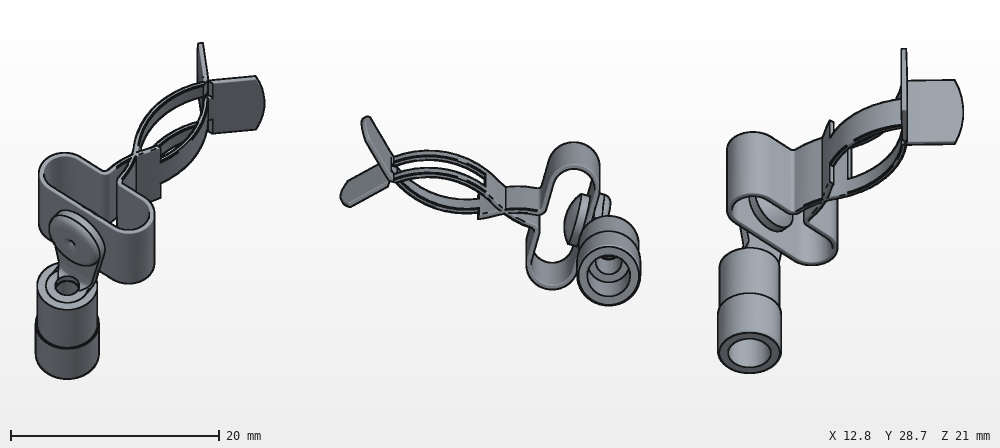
import cadquery as cq
import math


strip_thickness = 0.5
clip_height = 8.0
loop_flat_half = 3.9
loop_outer_radius = 2.5
foot_bend_radius = 0.6
arm_radius = 8.75
bulge_peak_x = 1.88
bulge_centre_y = 14.0
swing_angle = 31.6
tab_angle = 45.0
tab_length = 4.65
tab_end_radius = 10.0
strip_edge_fillet = 0.1

crossing_y_start = 10.6
crossing_y_end = 19.75
window_height = 4.2
tongue_height = 3.5

head_radius = 3.0
head_height = 0.8
shank_radius = 2.5
shank_top_y = 1.35
dome_height = 0.9
dimple_radius = 1.0

terminal_thickness = 0.8
terminal_eye_radius = head_radius
barrel_radius = 2.05
barrel_top_z = -6.0
barrel_end_z = -12.0
neck_height = 1.0
neck_top_z = barrel_top_z + neck_height
barrel_hole_radius = 1.15
neck_section_drops = [0, 0.5, 1]
barrel_y = -barrel_radius

sleeve_radius = 2.9
sleeve_foot_radius = 3.05
sleeve_step_z = barrel_end_z
sleeve_bottom_z = -17.0
sleeve_edge_fillet = 0.3


def side_point(point, heading, offset):
    """Point at a distance to the left of a path that runs along the heading (degrees)."""
    angle = math.radians(heading + 90)
    return (point[0] + offset * math.cos(angle), point[1] + offset * math.sin(angle))


def follow_path(start, heading, moves, offset):
    """Points of a line parallel to the path, as (arc middle or None, end), and the final heading."""
    point = start
    steps = []
    for kind, size, turn in moves:
        if kind == "line":
            point = side_point(point, heading - 90, size)
            middle = None
        else:
            to_centre = math.copysign(size, turn)
            centre = side_point(point, heading, to_centre)
            middle = side_point(centre, heading + turn / 2, offset - to_centre)
            heading += turn
            point = side_point(centre, heading, -to_centre)
        steps.append((middle, side_point(point, heading, offset)))
    return steps, point, heading


def arm_moves():
    """Bends of one half of the strip, from the middle of the flat front to the tab end."""
    swing = math.radians(swing_angle)
    lower_x = bulge_peak_x - arm_radius + 2 * arm_radius * math.cos(swing)
    lower_y = bulge_centre_y - 2 * arm_radius * math.sin(swing)
    foot_y = 2 * loop_outer_radius - strip_thickness / 2 + foot_bend_radius
    foot_lean = math.asin((foot_y - lower_y) / (arm_radius + foot_bend_radius))
    foot_x = lower_x - (arm_radius + foot_bend_radius) * math.cos(foot_lean)
    foot_angle = math.degrees(foot_lean)
    return [
        ("line", loop_flat_half, 0),
        ("arc", loop_outer_radius - strip_thickness / 2, -180),
        ("line", loop_flat_half + foot_x, 0),
        ("arc", foot_bend_radius, 90 - foot_angle),
        ("arc", arm_radius, foot_angle - swing_angle),
        ("arc", arm_radius, swing_angle + tab_angle),
        ("line", tab_length, 0),
    ]


def draw_steps(sketch, steps):
    for middle, end in steps:
        sketch = sketch.lineTo(*end) if middle is None else sketch.threePointArc(middle, end)
    return sketch


def make_arm(height):
    """Half of the clip, bent from a strip of the given height.

    It leads through the -X loop, bulges to +X and ends in a tab at -X.
    """
    half = strip_thickness / 2
    start = (0, half)
    start_heading = 180
    moves = arm_moves()
    left_steps, tip, tip_heading = follow_path(start, start_heading, moves, half)
    right_steps, _, _ = follow_path(start, start_heading, moves, -half)

    right_start = side_point(start, start_heading, -half)
    right_ends = [right_start] + [end for _, end in right_steps[:-1]]
    right_back = [(step[0], end) for step, end in zip(right_steps, right_ends)][::-1]

    sketch = cq.Workplane("XY").workplane(offset=-height / 2)
    sketch = draw_steps(sketch.moveTo(*side_point(start, start_heading, half)), left_steps)
    sketch = draw_steps(sketch.lineTo(*right_steps[-1][1]), right_back)
    arm = sketch.close().extrude(height)
    arm = arm.cut(tab_corners(tip, tip_heading))
    return arm.edges("not (|Y or |Z)").fillet(strip_edge_fillet)


def tab_corners(tip, heading):
    """Material outside the rounded end of a tab."""
    half = clip_height / 2
    sag = tab_end_radius - math.sqrt(tab_end_radius**2 - half**2)
    angle = math.radians(heading)
    plane = cq.Plane(
        origin=(*tip, 0),
        xDir=(math.cos(angle), math.sin(angle), 0),
        normal=(math.sin(angle), -math.cos(angle), 0),
    )
    return (
        cq.Workplane(plane)
        .moveTo(-sag, -half)
        .threePointArc((0, 0), (-sag, half))
        .lineTo(sag, half)
        .lineTo(sag, -half)
        .close()
        .extrude(strip_thickness, both=True)
    )


def box_between(x_range, y_range, z_range):
    lows, highs = zip(x_range, y_range, z_range)
    sizes = [high - low for low, high in zip(lows, highs)]
    return cq.Workplane("XY").box(*sizes, centered=False).translate(lows)


def make_arm_pair(height):
    arm = make_arm(height)
    return arm.union(arm.mirror("YZ"))


def make_clip():
    """Crossed arms: narrow on the +X side and split into two rails on the -X side of the bulge."""
    reach = loop_flat_half
    full_z = (-clip_height / 2, clip_height / 2)
    window_zone = box_between((-reach, 0), (crossing_y_start, crossing_y_end), full_z)
    tongue_zone = box_between((0, reach), (crossing_y_start, crossing_y_end), full_z)

    clip = make_arm_pair(clip_height).cut(window_zone).cut(tongue_zone)
    clip = clip.union(make_arm_pair(tongue_height).intersect(tongue_zone))

    rail_height = (clip_height - window_height) / 2
    rail_offset = (window_height + rail_height) / 2
    rails = make_arm_pair(rail_height).intersect(window_zone)
    for offset in (-rail_offset, rail_offset):
        clip = clip.union(rails.translate((0, 0, offset)))
    return clip.cut(rivet_hole())


def rivet_hole():
    return cq.Workplane("XZ").circle(shank_radius).extrude(loop_outer_radius / 2, both=True)


def make_rivet():
    """Solid of revolution about the Y axis."""
    head_base_y = -terminal_thickness
    head_face_y = head_base_y - head_height
    head_flat_radius = head_radius - head_height
    diagonal = head_height * math.sqrt(0.5)
    dimple_inset = dimple_radius * (1 - math.sqrt(0.5))
    dome_radius = (shank_radius**2 + dome_height**2) / (2 * dome_height)
    dome_centre_y = shank_top_y + dome_height - dome_radius
    dome_middle_x = shank_radius / 2
    dome_middle_y = dome_centre_y + math.sqrt(dome_radius**2 - dome_middle_x**2)
    return (
        cq.Workplane("XY")
        .moveTo(0, head_face_y + dimple_radius)
        .threePointArc((dimple_inset, head_face_y + dimple_inset), (dimple_radius, head_face_y))
        .lineTo(head_flat_radius, head_face_y)
        .threePointArc((head_flat_radius + diagonal, head_base_y - diagonal), (head_radius, head_base_y))
        .lineTo(shank_radius, head_base_y)
        .lineTo(shank_radius, shank_top_y)
        .threePointArc((dome_middle_x, dome_middle_y), (0, shank_top_y + dome_height))
        .close()
        .revolve(360, (0, 0, 0), (0, 1, 0))
    )


def tongue_outline():
    """Eye of the tongue with tangent sides down to the neck, drawn in X and Z."""
    distance = math.hypot(barrel_radius, neck_top_z)
    lean = math.asin(terminal_eye_radius / distance) - math.atan(barrel_radius / -neck_top_z)
    tangent_x = terminal_eye_radius * math.cos(lean)
    tangent_z = -terminal_eye_radius * math.sin(lean)
    return (
        cq.Workplane("XZ")
        .moveTo(-barrel_radius, neck_top_z)
        .lineTo(-tangent_x, tangent_z)
        .threePointArc((0, terminal_eye_radius), (tangent_x, tangent_z))
        .lineTo(barrel_radius, neck_top_z)
        .close()
    )


def neck_section(drop):
    """Section of half the neck; drop runs from 0 at the flat tongue to 1 at the barrel ring."""
    blend = 1 - math.sqrt(1 - drop**2)
    ring_depth = barrel_radius - barrel_hole_radius
    ring_end_drop = barrel_radius - terminal_thickness
    diagonal = math.sqrt(0.5)
    inner_back_y = -terminal_thickness - blend * (ring_depth - terminal_thickness)
    inner_end = (barrel_radius - blend * ring_depth, -terminal_thickness - blend * ring_end_drop)
    outer_end = (barrel_radius, -blend * barrel_radius)
    outer_bulge = blend * (diagonal - 0.5)

    def middle_of_side(back_y, end, radius):
        bulge = outer_bulge * radius
        return (end[0] / 2 + bulge, (back_y + end[1]) / 2 + bulge)

    section_z = neck_top_z - drop * neck_height
    sketch = cq.Workplane("XY").workplane(offset=section_z)
    sketch = sketch.spline([(0, 0), middle_of_side(0, outer_end, barrel_radius), outer_end])
    sketch = sketch.lineTo(*inner_end)
    inner_middle = middle_of_side(inner_back_y, inner_end, barrel_hole_radius)
    sketch = sketch.spline([inner_middle, (0, inner_back_y)], includeCurrent=True)
    return sketch.close().val()


def make_neck():
    """Transition from the flat tongue to the rear half of the barrel ring."""
    sections = [neck_section(drop) for drop in neck_section_drops]
    half_neck = cq.Workplane(cq.Solid.makeLoft(sections))
    return half_neck.union(half_neck.mirror("YZ"))


def barrel_cylinder(radius, top_z, bottom_z):
    return cq.Workplane("XY", origin=(0, barrel_y, bottom_z)).circle(radius).extrude(top_z - bottom_z)


def make_terminal():
    tongue = tongue_outline().extrude(terminal_thickness)
    barrel = barrel_cylinder(barrel_radius, barrel_top_z, barrel_end_z)
    bore_radius = barrel_radius - terminal_thickness
    bore_top_z = barrel_top_z - terminal_thickness
    terminal = tongue.union(make_neck()).union(barrel)
    terminal = terminal.cut(barrel_cylinder(bore_radius, bore_top_z, barrel_end_z))
    terminal = terminal.cut(barrel_cylinder(barrel_hole_radius, neck_top_z, barrel_end_z))
    return terminal.cut(rivet_hole())


def make_sleeve():
    foot = barrel_cylinder(sleeve_foot_radius, sleeve_step_z, sleeve_bottom_z)
    foot = foot.faces("<Z").edges().fillet(sleeve_edge_fillet)
    body = barrel_cylinder(sleeve_radius, barrel_top_z, sleeve_bottom_z)
    return foot.union(body).cut(barrel_cylinder(barrel_radius, barrel_top_z, sleeve_bottom_z))


clip = make_clip().solids().val()
rivet = make_rivet().solids().val()
terminal = make_terminal().solids().val()
sleeve = make_sleeve().solids().val()

result = cq.Compound.makeCompound([clip, rivet, terminal, sleeve])